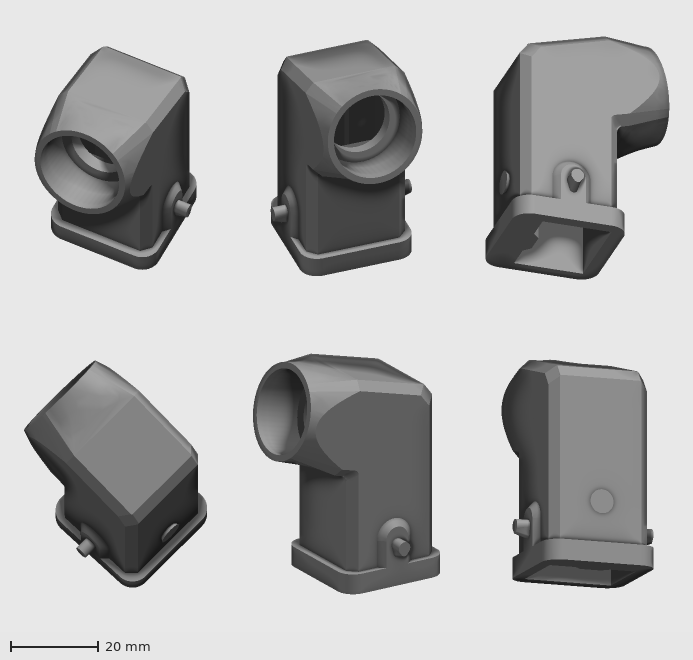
import cadquery as cq
import math

FLANGE_SIDE = 27.05
FLANGE_HEIGHT = 4.85
FLANGE_CORNER_RADIUS = 4.15

BODY_HALF_X = 12.05
BODY_HALF_Y = 11.715
BEND_DEGREES = 15.0
BACK_CHAMFER = 2.05
SIDE_CHAMFER = 2.1
BRANCH_HALF_HEIGHT = 11.6
ELBOW_RADIUS = 1.9

MOUTH_DIAMETER = 23.0
MOUTH_BORE_DIAMETER = 20.0
THROAT_DIAMETER = 15.0
TRANSITION_LENGTH = 11.5
BORE_DEPTH = 11.4
THROAT_END_DEPTH = 14.8
OVERALL_HEIGHT = 54.1
OVERALL_DEPTH = 39.3
CAP_END_DEGREES = 51.0
SIDE_END_DEGREES = 41.0

CAVITY_HALF_X = 10.55
CAVITY_BACK_Y = 6.5
CAVITY_WALL = 1.55
RIB_TIP_WIDTH = 5.15
RIB_BASE_WIDTH = 8.4
RIB_DEPTH = 1.6

BOSS_BASE_RADIUS = 4.6
BOSS_TOP_RADIUS = 3.0
BOSS_CENTRE_Z = 11.45
PEG_TIP_X = 16.695
PEG_DIAMETER = 3.1
PEG_CENTRE_Z = 10.1
PEG_RIB_RADIUS = 1.0
PEG_RIB_ROOT_Z = 8.1
PEG_RIB_TIP_Z = 9.2

BUTTON_INNER_DIAMETER = 4.55
BUTTON_OUTER_DIAMETER = 5.65
BUTTON_THICKNESS = 0.85
BUTTON_CENTRE_Z = 14.55

BEND = math.radians(BEND_DEGREES)
COS_BEND = math.cos(BEND)
SIN_BEND = math.sin(BEND)
TAN_BEND = math.tan(BEND)
MOUTH_RADIUS = MOUTH_DIAMETER / 2
MOUTH_Y = FLANGE_SIDE / 2 - OVERALL_DEPTH + MOUTH_RADIUS * SIN_BEND
MOUTH_Z = OVERALL_HEIGHT - MOUTH_RADIUS * COS_BEND


def branch_point(depth, offset):
    """(Y, Z) at a depth behind the mouth face and an offset upward across the branch."""
    return (
        MOUTH_Y + depth * COS_BEND + offset * SIN_BEND,
        MOUTH_Z - depth * SIN_BEND + offset * COS_BEND,
    )


def branch_edge_z(y, offset):
    """Z at the given Y of the line parallel to the branch axis at an offset across it."""
    return MOUTH_Z + offset / COS_BEND - (y - MOUTH_Y) * TAN_BEND


def branch_plane(depth):
    """Plane across the branch; local x is X, local y is upward, the normal points into the part."""
    y, z = branch_point(depth, 0)
    return cq.Plane(origin=(0, y, z), xDir=(-1, 0, 0), normal=(0, COS_BEND, -SIN_BEND))


def make_flange():
    """Square base plate with round corners."""
    return (
        cq.Workplane("XY")
        .rect(FLANGE_SIDE, FLANGE_SIDE)
        .extrude(FLANGE_HEIGHT)
        .edges("|Z")
        .fillet(FLANGE_CORNER_RADIUS)
    )


def make_elbow():
    """Column and straight part of the branch, with chamfered long edges."""
    roof_end_z = branch_edge_z(BODY_HALF_Y, BRANCH_HALF_HEIGHT)
    outline = [
        (-BODY_HALF_Y, 0),
        (-BODY_HALF_Y, branch_edge_z(-BODY_HALF_Y, -BRANCH_HALF_HEIGHT)),
        branch_point(TRANSITION_LENGTH, -BRANCH_HALF_HEIGHT),
        branch_point(TRANSITION_LENGTH, BRANCH_HALF_HEIGHT),
        (BODY_HALF_Y, roof_end_z),
        (BODY_HALF_Y, 0),
    ]
    block = cq.Workplane("YZ").polyline(outline).close().extrude(BODY_HALF_X, both=True)
    open_end = cq.selectors.ParallelDirSelector(cq.Vector(0, SIN_BEND, COS_BEND))
    long_edges = block.faces("<X or >X").edges("not |Y").edges(-open_end).vals()
    elbow = cq.Workplane(block.val().chamfer(SIDE_CHAMFER, None, long_edges))

    back_zone = cq.selectors.BoxSelector(
        (-BODY_HALF_X, BODY_HALF_Y - SIDE_CHAMFER, roof_end_z - SIDE_CHAMFER),
        (BODY_HALF_X, BODY_HALF_Y + 0.55, roof_end_z + 0.55),
    )
    elbow = elbow.edges(back_zone).chamfer(BACK_CHAMFER)

    corner_low = branch_edge_z(-BODY_HALF_Y, -BRANCH_HALF_HEIGHT)
    corner_zone = cq.selectors.BoxSelector(
        (-BODY_HALF_X, -BODY_HALF_Y - 0.55, corner_low - 0.55),
        (BODY_HALF_X, -BODY_HALF_Y + SIDE_CHAMFER, corner_low + SIDE_CHAMFER),
    )
    return elbow.edges(corner_zone).fillet(ELBOW_RADIUS)


def polar_point(radius, degrees):
    """(x, y) at a radius and an angle around the origin."""
    angle = math.radians(degrees)
    return (radius * math.cos(angle), radius * math.sin(angle))


def octagon_wire():
    """Branch section at the transition, its sides bulged into arcs around the axis."""
    flat_x = BODY_HALF_X - SIDE_CHAMFER
    side_y = BRANCH_HALF_HEIGHT - SIDE_CHAMFER
    bulge_x = math.hypot(BODY_HALF_X, side_y)
    return (
        cq.Workplane(branch_plane(TRANSITION_LENGTH))
        .moveTo(-flat_x, BRANCH_HALF_HEIGHT)
        .lineTo(flat_x, BRANCH_HALF_HEIGHT)
        .lineTo(BODY_HALF_X, side_y)
        .threePointArc((bulge_x, 0), (BODY_HALF_X, -side_y))
        .lineTo(flat_x, -BRANCH_HALF_HEIGHT)
        .lineTo(-flat_x, -BRANCH_HALF_HEIGHT)
        .lineTo(-BODY_HALF_X, -side_y)
        .threePointArc((-bulge_x, 0), (-BODY_HALF_X, side_y))
        .close()
        .val()
    )


def mouth_wire():
    """Mouth circle, split into one arc for each edge of the octagon."""
    start = 180 - CAP_END_DEGREES
    outline = cq.Workplane(branch_plane(0)).moveTo(*polar_point(MOUTH_RADIUS, start))
    quarter_ends = (CAP_END_DEGREES, SIDE_END_DEGREES, -SIDE_END_DEGREES, -CAP_END_DEGREES)
    for end in [angle - turn for turn in (0, 180) for angle in quarter_ends]:
        middle = polar_point(MOUTH_RADIUS, (start + end) / 2)
        outline = outline.threePointArc(middle, polar_point(MOUTH_RADIUS, end))
        start = end
    return outline.wire().val()


def make_nozzle():
    """Octagon-to-circle transition, trimmed flush with the flat sides of the column."""
    loft = cq.Solid.makeLoft([octagon_wire(), mouth_wire()], True)
    side_trim = cq.Workplane("XY").box(2 * BODY_HALF_X, 2 * OVERALL_DEPTH, 2 * OVERALL_HEIGHT)
    return cq.Workplane(loft).intersect(side_trim)


def cut_mouth(housing):
    """Wide bore, then the narrower throat that opens into the cavity."""
    mouth = cq.Workplane(branch_plane(0))
    bore = mouth.circle(MOUTH_BORE_DIAMETER / 2).extrude(BORE_DEPTH)
    throat = mouth.circle(THROAT_DIAMETER / 2).extrude(THROAT_END_DEPTH)
    return housing.cut(bore).cut(throat)


def make_cavity():
    """Open-bottomed hollow that leans forward under the roof, less the rib on its back wall."""
    ceiling = BRANCH_HALF_HEIGHT - CAVITY_WALL
    front_y = CAVITY_WALL - BODY_HALF_Y
    throat_y, throat_z = branch_point(THROAT_END_DEPTH, 0)
    outline = [
        (front_y, 0),
        (front_y, throat_z + (front_y - throat_y) / TAN_BEND),
        branch_point(THROAT_END_DEPTH, ceiling),
        (CAVITY_BACK_Y, branch_edge_z(CAVITY_BACK_Y, ceiling)),
        (CAVITY_BACK_Y, 0),
    ]
    hollow = cq.Workplane("YZ").polyline(outline).close().extrude(CAVITY_HALF_X, both=True)
    rib = (
        cq.Workplane("XY")
        .polyline([
            (-RIB_BASE_WIDTH / 2, CAVITY_BACK_Y),
            (-RIB_TIP_WIDTH / 2, CAVITY_BACK_Y - RIB_DEPTH),
            (RIB_TIP_WIDTH / 2, CAVITY_BACK_Y - RIB_DEPTH),
            (RIB_BASE_WIDTH / 2, CAVITY_BACK_Y),
        ])
        .close()
        .extrude(OVERALL_HEIGHT)
    )
    return hollow.cut(rib)


def boss_wire(x, radius):
    """Arch outline standing on the underside of the flange."""
    return (
        cq.Workplane("YZ", origin=(x, 0, 0))
        .moveTo(-radius, 0)
        .lineTo(-radius, BOSS_CENTRE_Z)
        .threePointArc((0, BOSS_CENTRE_Z + radius), (radius, BOSS_CENTRE_Z))
        .lineTo(radius, 0)
        .close()
        .val()
    )


def peg_wire(x, rib_z):
    """Teardrop: round peg above, smaller round rib below, joined by common tangents."""
    radius = PEG_DIAMETER / 2
    tangent = math.asin((radius - PEG_RIB_RADIUS) / (PEG_CENTRE_Z - rib_z))
    across = math.cos(tangent)
    down = math.sin(tangent)
    return (
        cq.Workplane("YZ", origin=(x, 0, 0))
        .moveTo(-radius * across, PEG_CENTRE_Z - radius * down)
        .threePointArc((0, PEG_CENTRE_Z + radius), (radius * across, PEG_CENTRE_Z - radius * down))
        .lineTo(PEG_RIB_RADIUS * across, rib_z - PEG_RIB_RADIUS * down)
        .threePointArc(
            (0, rib_z - PEG_RIB_RADIUS),
            (-PEG_RIB_RADIUS * across, rib_z - PEG_RIB_RADIUS * down),
        )
        .close()
        .val()
    )


def make_latch():
    """Tapered boss and its peg on the +X side."""
    boss_x = FLANGE_SIDE / 2
    boss = cq.Solid.makeLoft(
        [boss_wire(BODY_HALF_X, BOSS_BASE_RADIUS), boss_wire(boss_x, BOSS_TOP_RADIUS)], True
    )
    peg = cq.Solid.makeLoft(
        [peg_wire(boss_x, PEG_RIB_ROOT_Z), peg_wire(PEG_TIP_X, PEG_RIB_TIP_Z)], True
    )
    return cq.Workplane(boss).union(cq.Workplane(peg))


def make_housing():
    """Outer shape with a latch on each side, then the hollow and the mouth."""
    latch = make_latch()
    outside = make_flange().union(make_elbow()).union(make_nozzle())
    outside = outside.union(latch).union(latch.mirror("YZ"))
    return cut_mouth(outside.cut(make_cavity()))


def make_button():
    """Disc that flares outward from the back wall."""
    return (
        cq.Workplane("XZ", origin=(0, BODY_HALF_Y, BUTTON_CENTRE_Z))
        .circle(BUTTON_INNER_DIAMETER / 2)
        .workplane(offset=-BUTTON_THICKNESS)
        .circle(BUTTON_OUTER_DIAMETER / 2)
        .loft(ruled=True)
    )


housing = make_housing()
button = make_button()

result = cq.Compound.makeCompound([housing.val(), button.val()])